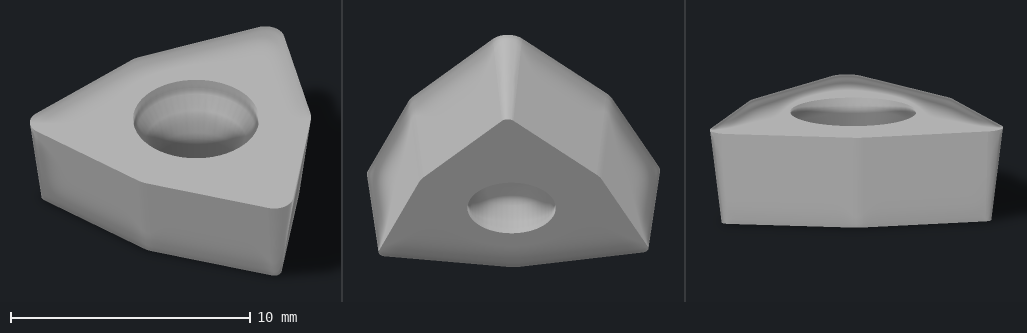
import cadquery as cq
import math

thickness = 3.98
inscribed_radius = 4.76
nose_radius = 0.8
blunt_radius = 1.2
clearance_angle = 7.0
corner_count = 3
first_nose_direction = 130.0
nose_half_normal_angle = 50.0
blunt_half_normal_angle = 10.0

bore_radius = 3.7 / 2
mouth_radius = 2.64
wall_foot_radius = 2.6
wall_depth = 0.4
seat_top_radius = 2.5
seat_top_depth = 0.68
seat_curve_radius = 2.99


def polar(radius, degrees):
    angle = math.radians(degrees)
    return cq.Vector(radius * math.cos(angle), radius * math.sin(angle))


def corner_arc(inscribed, radius, direction, half_angle):
    """Start, middle and end of a corner arc tangent to both adjacent sides."""
    center = polar((inscribed - radius) / math.cos(math.radians(half_angle)), direction)
    return [center + polar(radius, direction + turn) for turn in (-half_angle, 0, half_angle)]


def outline_wire(inset, z):
    """Insert outline at height z, with its sides moved inward by inset."""
    inscribed = inscribed_radius - inset
    arcs = []
    for corner in range(corner_count):
        nose_direction = first_nose_direction + corner * 360 / corner_count
        blunt_direction = nose_direction + 180 / corner_count
        arcs.append(corner_arc(inscribed, nose_radius - inset, nose_direction, nose_half_normal_angle))
        arcs.append(corner_arc(inscribed, blunt_radius, blunt_direction, blunt_half_normal_angle))
    outline = cq.Workplane("XY").workplane(offset=z).moveTo(*arcs[-1][2].toTuple()[:2])
    for start, middle, end in arcs:
        outline = outline.lineTo(start.x, start.y)
        outline = outline.threePointArc((middle.x, middle.y), (end.x, end.y))
    return outline.close().val()


def insert_body():
    bottom_inset = thickness * math.tan(math.radians(clearance_angle))
    wires = [outline_wire(bottom_inset, 0), outline_wire(0, thickness)]
    return cq.Workplane(obj=cq.Solid.makeLoft(wires, True))


def screw_hole():
    """Bore with a convex seat, blended into a slightly conical mouth."""
    seat_angle = math.acos(1 - (seat_top_radius - bore_radius) / seat_curve_radius)
    seat_top_z = thickness - seat_top_depth
    seat_foot_z = seat_top_z - seat_curve_radius * math.sin(seat_angle)
    seat_middle = (
        bore_radius + seat_curve_radius * (1 - math.cos(seat_angle / 2)),
        seat_foot_z + seat_curve_radius * math.sin(seat_angle / 2),
    )
    return (
        cq.Workplane("XZ")
        .moveTo(0, thickness)
        .lineTo(mouth_radius, thickness)
        .lineTo(wall_foot_radius, thickness - wall_depth)
        .tangentArcPoint((seat_top_radius, seat_top_z), relative=False)
        .threePointArc(seat_middle, (bore_radius, seat_foot_z))
        .lineTo(bore_radius, 0)
        .lineTo(0, 0)
        .close()
        .revolve(360, (0, 0), (0, 1))
    )


result = insert_body().cut(screw_hole())